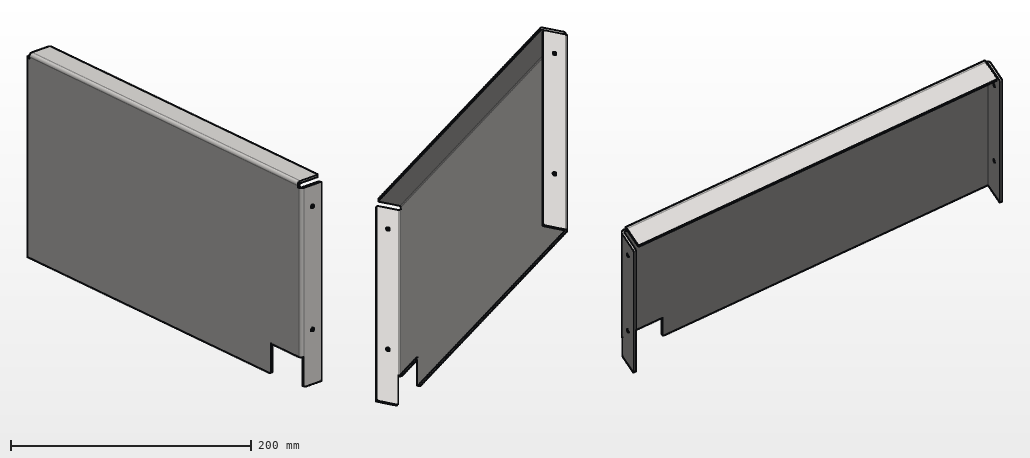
import cadquery as cq

length = 352.0
depth = 23.0
height = 187.3

thickness = 2.3
bend_radius = 3.0
inner_radius = bend_radius - thickness

corner_radius = 1.5

top_flange_inset = 4.5
side_flange_drop = 5.0

notch_left = 313.0
notch_height = 27.5

hole_diameter = 3.35
hole_from_back = 10.2
hole_heights = (50.0, 162.5)

side_height = height - side_flange_drop


def block(x_min, x_max, y_min, y_max, z_min, z_max):
    """Axis-aligned box given by its limits."""
    size = (x_max - x_min, y_max - y_min, z_max - z_min)
    return cq.Workplane("XY").box(*size, centered=False).translate((x_min, y_min, z_min))


def side_channel():
    """Face and both side flanges, bent about vertical axes, with rounded back corners."""
    outer = block(0, length, 0, depth, 0, side_height).edges("|Z and <Y").fillet(bend_radius)
    outer = outer.edges("|X and >Y").fillet(corner_radius)
    inner = block(thickness, length - thickness, thickness, depth, 0, side_height)
    return outer.cut(inner.edges("|Z and <Y").fillet(inner_radius))


def top_angle():
    """Face and top flange, bent about a horizontal axis, with rounded back corners."""
    x_min = top_flange_inset
    x_max = length - top_flange_inset
    outer = block(x_min, x_max, 0, depth, 0, height).edges("|X and <Y and >Z").fillet(bend_radius)
    outer = outer.edges("|Z and >Y").fillet(corner_radius)
    inner = block(x_min, x_max, thickness, depth, 0, height - thickness)
    return outer.cut(inner.edges("|X and <Y and >Z").fillet(inner_radius))


def face_notch():
    """Cut through the face and right bend, leaving the flat of the right flange."""
    return block(notch_left, length, 0, bend_radius, 0, notch_height)


def flange_holes():
    """Holes along X through both side flanges."""
    centers = [(depth - hole_from_back, z) for z in hole_heights]
    return cq.Workplane("YZ").pushPoints(centers).circle(hole_diameter / 2).extrude(length)


panel = side_channel().union(top_angle())
panel = panel.cut(face_notch())

notch_corner = cq.selectors.NearestToPointSelector((notch_left, thickness / 2, 0))
panel = panel.edges("|Y").edges(notch_corner).fillet(corner_radius)

flange_corner = cq.selectors.NearestToPointSelector((length - thickness / 2, bend_radius, 0))
panel = panel.edges("|X").edges(flange_corner).fillet(corner_radius)

result = panel.cut(flange_holes())